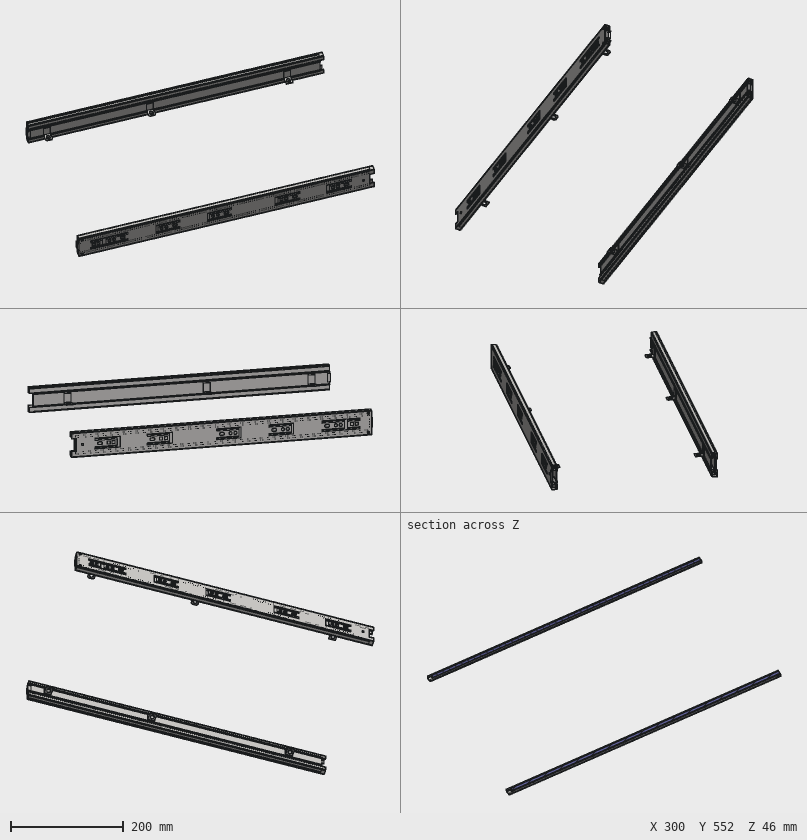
import cadquery as cq

PAIR_WIDTH = 300.0
REAR_Y = 276.0
FRONT_Y = -274.0
BUMPER_FRONT_Y = -276.0
SLIDE_HEIGHT = 46.0
SHEET = 1.0

OUTER_DEPTH = 11.0
OUTER_LIP = 1.95
OUTER_LIP_DROP = 9.65
LIP_SLOPE_HEIGHT = 1.5
BACK_SLOPE_DEPTH = 0.5
BACK_SLOPE_HEIGHT = 1.5
NOTCH_HEIGHT = 23.0
NOTCH_DEPTH = 9.0

MIDDLE_BACK_X = 2.0
MIDDLE_WEB_X = 3.5
MIDDLE_FRONT_X = 8.55
MIDDLE_HEIGHT = 34.0
MIDDLE_FLANGE = 1.5
RIDGE_HEIGHT = 4.0
MEMBER_REAR_Y = 268.5
RACEWAY_WALL = 0.85

RUNNER_DEPTH = 12.5
RUNNER_BACK_X = 5.0
RUNNER_HEIGHT = 24.5

BUMPER_LENGTH = 5.5
RAIL_BUMPER_FRONT_X = 5.5
RAIL_BUMPER_HEIGHT = 17.5
RUNNER_BUMPER_BACK_X = 7.0
RUNNER_BUMPER_HEIGHT = 15.5

BRACKET_WIDTH = 12.5
BRACKET_BOTTOM = -9.0
BRACKET_TOP = 8.5
BRACKET_END_X = 27.5
BRACKET_HOLE_X = 20.5
BRACKET_HOLE_LENGTH = 8.5
BRACKET_HOLE_WIDTH = 6.5
BRACKET_CORNER = 2.0
SQUARE_BRACKET_Y = 207.0
CHAMFERED_BRACKET_YS = (-48.5, -240.5)

WINDOW_HEIGHT = 20.0
WINDOW_LENGTH = 46.5
ROUND_HOLE_WINDOW_LENGTH = 44.5
LONG_WINDOW_LENGTH = 69.0
TONGUE_WIDTH = 11.5
TONGUE_INNER_WIDTH = 15.5
TONGUE_LENGTH = 41.0
SHORT_TONGUE_LENGTH = 22.0
TONGUE_HOLE = 5.5
TONGUE_HOLE_OFFSETS = (25.5, 34.0)
SHORT_TONGUE_HOLE_OFFSETS = (8.0, 16.5)
PILOT_OFFSET = 9.5
PILOT_LENGTH = 9.0
PILOT_WIDTH = 5.0
SQUARE_HOLE_WINDOW_YS = (233.5, 137.5)
ROUND_HOLE_WINDOW_YS = (10.0, -86.0)
LONG_WINDOW_Y = -183.0

SMALL_HOLE = 4.0
REAR_HOLE_Y = 256.0
FRONT_HOLE_Y = -268.0
FRONT_HOLE_Z = 17.5


def box(x_range, y_range, z_range):
    """Box between the given limits along X, Y and Z."""
    (x0, x1), (y0, y1), (z0, z1) = x_range, y_range, z_range
    return cq.Workplane("XY").box(x1 - x0, y1 - y0, z1 - z0, centered=False).translate((x0, y0, z0))


def centred_box(x_range, y_range, height):
    """Box centred on Z = 0."""
    return box(x_range, y_range, (-height / 2, height / 2))


def top_and_bottom(upper):
    """Join a shape to its reflection in the Z = 0 plane."""
    return upper.union(upper.mirror("XY"))


def web_cutter(y, z):
    """Workplane at the mounting face, with local x along Y, for cutting the outer web."""
    return cq.Workplane("YZ").center(y, z)


def outer_profile():
    """Upper half of the outside of the outer channel, in X and Z."""
    top = SLIDE_HEIGHT / 2
    return [
        (0, 0),
        (0, top - BACK_SLOPE_HEIGHT),
        (BACK_SLOPE_DEPTH, top),
        (OUTER_DEPTH - OUTER_LIP, top),
        (OUTER_DEPTH, top - LIP_SLOPE_HEIGHT),
        (OUTER_DEPTH, 0),
    ]


def outer_channel():
    """C-channel with sloped outer corners, thick inward lips and a notch in its rear end."""
    y_range = (FRONT_Y, REAR_Y)
    upper = cq.Workplane("XZ", origin=(0, REAR_Y, 0)).polyline(outer_profile()).close()
    body = top_and_bottom(upper.extrude(REAR_Y - FRONT_Y))
    inside = centred_box((SHEET, OUTER_DEPTH - OUTER_LIP), y_range, SLIDE_HEIGHT - 2 * SHEET)
    mouth = centred_box((SHEET, OUTER_DEPTH), y_range, SLIDE_HEIGHT - 2 * OUTER_LIP_DROP)
    notch = centred_box((0, SHEET), (REAR_Y - NOTCH_DEPTH, REAR_Y), NOTCH_HEIGHT)
    return body.cut(inside).cut(mouth).cut(notch)


def tongue_strip(y_front, y_rear):
    """Strip of the outer web with bevelled long edges, narrower on the mounting face."""
    face = TONGUE_WIDTH / 2
    inner = TONGUE_INNER_WIDTH / 2
    section = [(0, -face), (0, face), (SHEET, inner), (SHEET, -inner)]
    strip = cq.Workplane("XZ", origin=(0, y_rear, 0)).polyline(section).close()
    return strip.extrude(y_rear - y_front)


def tongue_holes(y_root, offsets, round_holes):
    """Screw holes at the given distances forward of the tongue root."""
    holes = cq.Workplane("YZ")
    for offset in offsets:
        place = web_cutter(y_root - offset, 0)
        shape = place.circle(TONGUE_HOLE / 2) if round_holes else place.rect(TONGUE_HOLE, TONGUE_HOLE)
        holes = holes.add(shape.extrude(SHEET))
    return holes.combine()


def tongue_window(y_rear, length, round_holes):
    """Opening cut in the web around a tongue that points forward, and the holes in that tongue."""
    opening = centred_box((0, SHEET), (y_rear - length, y_rear), WINDOW_HEIGHT)
    tongue = tongue_strip(y_rear - TONGUE_LENGTH, y_rear)
    pilot = web_cutter(y_rear - PILOT_OFFSET, 0).slot2D(PILOT_LENGTH, PILOT_WIDTH).extrude(SHEET)
    holes = tongue_holes(y_rear, TONGUE_HOLE_OFFSETS, round_holes)
    return opening.cut(tongue).union(pilot).union(holes)


def long_tongue_window():
    """Longer opening with a second, short tongue that points back from its front end."""
    front = LONG_WINDOW_Y - LONG_WINDOW_LENGTH
    root = front + SHORT_TONGUE_LENGTH
    tongue = tongue_strip(front, root)
    holes = tongue_holes(root, SHORT_TONGUE_HOLE_OFFSETS, round_holes=False)
    return tongue_window(LONG_WINDOW_Y, LONG_WINDOW_LENGTH, round_holes=True).cut(tongue).union(holes)


def cut_web_openings(channel):
    """Cut the tongues and the small holes in the outer web."""
    for y_rear in SQUARE_HOLE_WINDOW_YS:
        channel = channel.cut(tongue_window(y_rear, WINDOW_LENGTH, round_holes=False))
    for y_rear in ROUND_HOLE_WINDOW_YS:
        channel = channel.cut(tongue_window(y_rear, ROUND_HOLE_WINDOW_LENGTH, round_holes=True))
    channel = channel.cut(long_tongue_window())
    small_holes = ((REAR_HOLE_Y, 0), (FRONT_HOLE_Y, FRONT_HOLE_Z), (FRONT_HOLE_Y, -FRONT_HOLE_Z))
    for y, z in small_holes:
        channel = channel.cut(web_cutter(y, z).circle(SMALL_HOLE / 2).extrude(SHEET))
    return channel


def middle_channel():
    """Intermediate C-channel with back ridges, raceways above and below, and a front bumper."""
    y_range = (FRONT_Y, MEMBER_REAR_Y)
    top = MIDDLE_HEIGHT / 2
    body = centred_box((MIDDLE_WEB_X, MIDDLE_FRONT_X), y_range, MIDDLE_HEIGHT)
    mouth_height = MIDDLE_HEIGHT - 2 * MIDDLE_FLANGE
    mouth = centred_box((MIDDLE_WEB_X + SHEET, MIDDLE_FRONT_X), y_range, mouth_height)
    ridge = box((MIDDLE_BACK_X, MIDDLE_WEB_X), y_range, (top - RIDGE_HEIGHT, top))
    raceway_top = SLIDE_HEIGHT / 2 - SHEET
    wall = box((MIDDLE_WEB_X, MIDDLE_WEB_X + RACEWAY_WALL), y_range, (top, raceway_top))
    roof = box(
        (MIDDLE_WEB_X, OUTER_DEPTH - OUTER_LIP), y_range, (raceway_top - RACEWAY_WALL, raceway_top)
    )
    bumper = centred_box(
        (MIDDLE_BACK_X, RAIL_BUMPER_FRONT_X),
        (BUMPER_FRONT_Y, BUMPER_FRONT_Y + BUMPER_LENGTH),
        RAIL_BUMPER_HEIGHT,
    )
    return body.cut(mouth).union(top_and_bottom(ridge.union(wall).union(roof))).union(bumper)


def make_rail():
    """Fixed rail: the outer channel with the intermediate channel inside it."""
    return cut_web_openings(outer_channel()).union(middle_channel())


def bracket(y, chamfered):
    """L-bracket: a plate against the runner web and a drilled tab along its lower edge."""
    y_range = (y - BRACKET_WIDTH / 2, y + BRACKET_WIDTH / 2)
    plate = box((OUTER_DEPTH, RUNNER_DEPTH), y_range, (BRACKET_BOTTOM, BRACKET_TOP))
    tab = box((OUTER_DEPTH, BRACKET_END_X), y_range, (BRACKET_BOTTOM, BRACKET_BOTTOM + SHEET))
    if chamfered:
        tab = tab.edges("|Z and >X").chamfer(BRACKET_CORNER)
    hole = (
        cq.Workplane("XY", origin=(BRACKET_HOLE_X, y, BRACKET_BOTTOM))
        .slot2D(BRACKET_HOLE_LENGTH, BRACKET_HOLE_WIDTH)
        .extrude(SHEET)
    )
    return plate.union(tab).cut(hole)


def make_runner():
    """Moving runner with its front bumper and three brackets."""
    y_range = (FRONT_Y, MEMBER_REAR_Y)
    top = RUNNER_HEIGHT / 2
    web = centred_box((OUTER_DEPTH - SHEET, OUTER_DEPTH), y_range, RUNNER_HEIGHT)
    flange = box((RUNNER_BACK_X, RUNNER_DEPTH), y_range, (top - SHEET, top))
    bumper = centred_box(
        (RUNNER_BUMPER_BACK_X, OUTER_DEPTH),
        (BUMPER_FRONT_Y, BUMPER_FRONT_Y + BUMPER_LENGTH),
        RUNNER_BUMPER_HEIGHT,
    )
    runner = web.union(top_and_bottom(flange)).union(bumper)
    runner = runner.union(bracket(SQUARE_BRACKET_Y, chamfered=False))
    for y in CHAMFERED_BRACKET_YS:
        runner = runner.union(bracket(y, chamfered=True))
    return runner


bodies = []
for member in (make_rail(), make_runner()):
    left = member.translate((-PAIR_WIDTH / 2, 0, 0))
    bodies += [left.val(), left.mirror("YZ").val()]

result = cq.Compound.makeCompound(bodies)